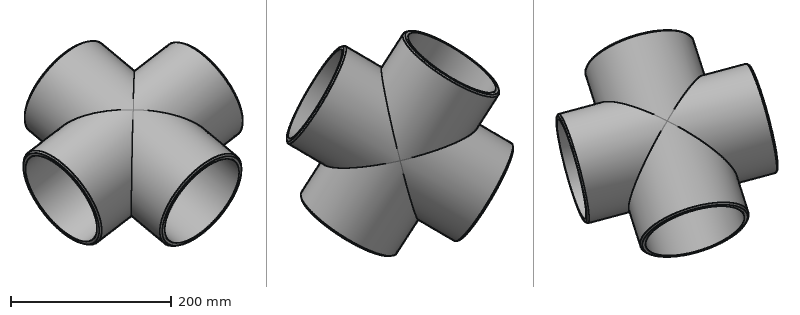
import cadquery as cq

span = 248.0
outer_diameter = 141.3
wall = 6.5
bevel_length = 2.2
bevel_depth = 2.2

outer_radius = outer_diameter / 2
inner_radius = outer_radius - wall
half_span = span / 2


def pipe_body():
    """Solid bar along X with a weld bevel at both ends."""
    profile = [
        (-half_span, 0),
        (-half_span, outer_radius - bevel_depth),
        (-half_span + bevel_length, outer_radius),
        (half_span - bevel_length, outer_radius),
        (half_span, outer_radius - bevel_depth),
        (half_span, 0),
    ]
    return cq.Workplane("XY").polyline(profile).close().revolve(360, (0, 0, 0), (1, 0, 0))


def bore():
    """Through bore along X."""
    return cq.Workplane("YZ").circle(inner_radius).extrude(half_span, both=True)


def crossed(bar):
    """Join a bar along X with its copy along Y."""
    return bar.union(bar.rotate((0, 0, 0), (0, 0, 1), 90))


result = crossed(pipe_body()).cut(crossed(bore()))